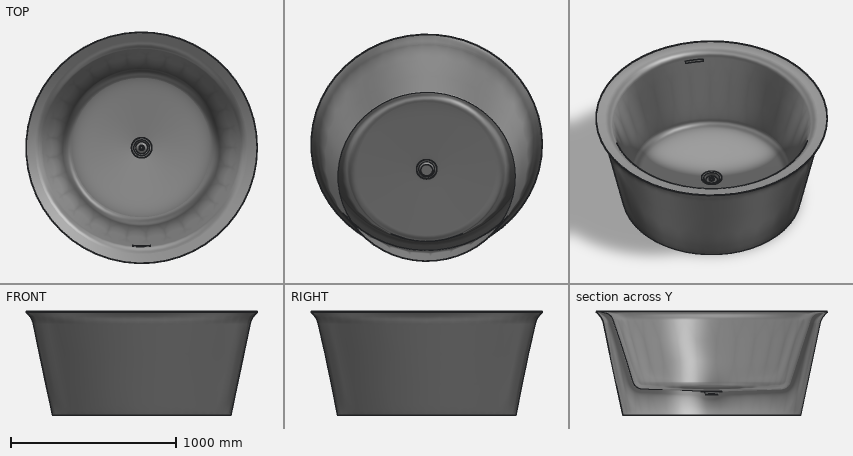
import cadquery as cq
import math

height = 630.0
rim_radius = 700.0
base_radius = 540.0
sheet = 4.0
outer_taper = 0.211
rim_edge_height = 8.0
rim_round = 4.0
flare_bend = 105.0
foot_round = 5.0

rim_slope = 0.214
basin_taper = 0.322
basin_bend = 60.0
floor_edge_radius = 463.0
floor_edge_height = 161.0
floor_height = 147.0

seat_radius = 59.0
seat_depth = 3.0
funnel_radius = 46.5
funnel_depth = 18.0
seat_height = floor_height - seat_depth
funnel_height = seat_height - funnel_depth

drain_radius = 35.0
drain_edge = 3.0
drain_dome_rise = 4.0
drain_groove_radius = 17.0
drain_groove_width = 4.0
drain_groove_depth = 3.0
drain_dimple_radius = 7.0
drain_dimple_depth = 1.5

overflow_width = 110.0
overflow_height = 14.0
overflow_middle = 566.0


def outer_wall_radius(z):
    """Radius of the straight outer wall at a height."""
    return base_radius + outer_taper * z


def basin_wall_radius(z):
    """Radius of the straight basin wall at a height."""
    return floor_edge_radius + basin_taper * (z - floor_edge_height)


flare_end = (rim_radius, height - rim_edge_height)
flare_corner_height = (flare_end[1] - rim_radius + base_radius) / (1 - outer_taper)
flare_corner = (outer_wall_radius(flare_corner_height), flare_corner_height)
rounding_loss = rim_round * (rim_slope + math.hypot(1, rim_slope) - 1)
rim_edge_top = (rim_radius, height + rounding_loss)
rim_line_at_axis = rim_edge_top[1] - rim_slope * rim_radius
rim_corner_height = (rim_line_at_axis + rim_slope * basin_wall_radius(0)) / (1 - rim_slope * basin_taper)
rim_corner = (basin_wall_radius(rim_corner_height), rim_corner_height)


def point_towards(start, end, distance):
    """Point at a distance from start on the way to end."""
    share = distance / math.dist(start, end)
    return tuple(s + share * (e - s) for s, e in zip(start, end))


def rounded_outline(corners):
    """Closed outline in the XZ plane from (point, bend radius) corners; radius 0 stays sharp."""
    first_point = corners[0][0]
    outline = cq.Workplane("XZ").moveTo(*first_point)
    for index in range(1, len(corners)):
        corner, radius = corners[index]
        before = corners[index - 1][0]
        after = corners[(index + 1) % len(corners)][0]
        if radius == 0:
            outline = outline.lineTo(*corner)
            continue
        toward_before = point_towards(corner, before, 1)
        toward_after = point_towards(corner, after, 1)
        half_chord = math.dist(toward_before, toward_after) / 2
        half_angle = math.asin(half_chord)
        tangent_length = radius / math.tan(half_angle)
        chord_middle = tuple((a + b) / 2 for a, b in zip(toward_before, toward_after))
        arc_middle = point_towards(corner, chord_middle, radius / math.sin(half_angle) - radius)
        arc_start = point_towards(corner, before, tangent_length)
        arc_end = point_towards(corner, after, tangent_length)
        outline = outline.lineTo(*arc_start).threePointArc(arc_middle, arc_end)
    return outline.close()


def spin(outline):
    """Solid of revolution of an XZ outline about the Z axis."""
    return outline.revolve(360, (0, 0, 0), (0, 1, 0))


def tub_outline(foot_height, foot_radius, edge_radius):
    """Half section of the tub, filled below the basin, with its foot at a height."""
    return rounded_outline([
        ((0, foot_height), 0),
        ((outer_wall_radius(foot_height), foot_height), foot_radius),
        (flare_corner, flare_bend),
        (flare_end, 0),
        (rim_edge_top, edge_radius),
        (rim_corner, basin_bend),
        ((floor_edge_radius, floor_edge_height), basin_bend),
        ((seat_radius, floor_height), 0),
        ((seat_radius, seat_height), 0),
        ((funnel_radius, seat_height), 0),
        ((drain_radius, funnel_height), 0),
        ((0, funnel_height), 0),
    ])


def make_tub():
    """Folded sheet with a hole for the drain and a slot for the overflow plate."""
    filled = spin(tub_outline(0, foot_round, rim_round))
    below_foot = -2 * sheet
    hollow = spin(tub_outline(below_foot, 0, 0).offset2D(-sheet, "intersection"))
    drain_hole = cq.Workplane("XY").circle(drain_radius).extrude(funnel_height)
    return filled.cut(hollow).cut(drain_hole).cut(make_overflow())


def make_drain():
    """Domed drain plug with a ring groove and a dimple in the middle."""
    bottom = funnel_height - sheet
    edge_top = funnel_height + drain_edge
    top = edge_top + drain_dome_rise
    groove_floor = top - drain_groove_depth
    groove_inner_radius = drain_groove_radius - drain_groove_width
    dimple_floor = top - drain_dimple_depth
    plug = cq.Workplane("XZ").polyline([
        (0, bottom),
        (drain_radius, bottom),
        (drain_radius, edge_top),
        (drain_groove_radius, top),
        (drain_groove_radius, groove_floor),
        (groove_inner_radius, groove_floor),
        (groove_inner_radius, top),
        (drain_dimple_radius, top),
        (drain_dimple_radius, dimple_floor),
        (0, dimple_floor),
    ]).close()
    return spin(plug)


def make_overflow():
    """Plate that is flush with both sides of the basin wall."""
    low = overflow_middle - overflow_height / 2
    high = overflow_middle + overflow_height / 2
    level_thickness = sheet * math.hypot(1, basin_taper)
    wall_band = cq.Workplane("XZ").polyline([
        (basin_wall_radius(low), low),
        (basin_wall_radius(low) + level_thickness, low),
        (basin_wall_radius(high) + level_thickness, high),
        (basin_wall_radius(high), high),
    ]).close()
    front_half = cq.Workplane("XY").box(
        overflow_width, rim_radius, height, centered=(True, False, False)
    ).translate((0, -rim_radius, 0))
    return spin(wall_band).intersect(front_half)


tub = make_tub()
drain = make_drain()
overflow = make_overflow()

result = cq.Compound.makeCompound([
    tub.solids().val(),
    drain.solids().val(),
    overflow.solids().val(),
])